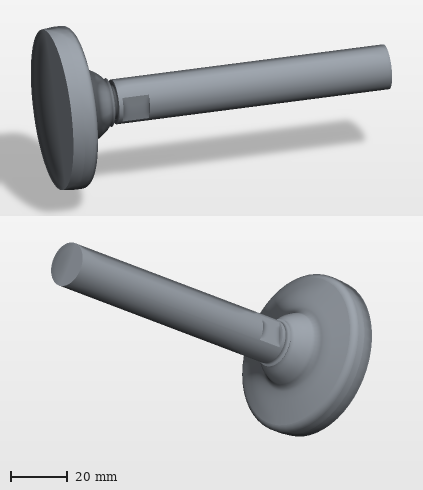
import cadquery as cq
import math

total_length = 122.0

foot_diameter = 58.0
base_diameter = 57.1
taper_height = 4.1
rim_height = 7.1
shoulder_radius = 27.1
shoulder_height = 9.4
slope_top_radius = 15.1
slope_top_height = 11.6
dome_base_radius = 13.0
dome_base_height = 13.3
dome_top_radius = 8.0
dome_top_height = 20.0
dome_sphere_radius = 13.2
rim_bulge = 0.5
flare_sag = 0.4

spindle_diameter = 16.0
spindle_start = 22.5
collar_radius = 8.7
collar_height = 20.6
neck_radius = 5.6
neck_end_radius = 6.5
neck_start = 21.6
flat_start = 23.9
flat_length = 9.6
across_flats = 12.9


def bulged_point(start, end, bulge):
    """Middle of an arc from start to end; a positive bulge lies to the right of the direction of travel."""
    run = end[0] - start[0]
    rise = end[1] - start[1]
    chord = math.hypot(run, rise)
    middle_radius = (start[0] + end[0]) / 2 + bulge * rise / chord
    middle_height = (start[1] + end[1]) / 2 - bulge * run / chord
    return (middle_radius, middle_height)


def revolve_about_y(profile):
    return profile.close().revolve(360, (0, 0, 0), (0, 1, 0))


def make_foot():
    rim = (foot_diameter / 2, rim_height)
    shoulder = (shoulder_radius, shoulder_height)
    slope_top = (slope_top_radius, slope_top_height)
    dome_base = (dome_base_radius, dome_base_height)
    dome_top = (dome_top_radius, dome_top_height)
    half_chord = math.dist(dome_base, dome_top) / 2
    dome_bulge = dome_sphere_radius - math.sqrt(dome_sphere_radius**2 - half_chord**2)
    profile = (
        cq.Workplane("XY")
        .lineTo(base_diameter / 2, 0)
        .lineTo(foot_diameter / 2, taper_height)
        .lineTo(*rim)
        .threePointArc(bulged_point(rim, shoulder, rim_bulge), shoulder)
        .lineTo(*slope_top)
        .threePointArc(bulged_point(slope_top, dome_base, -flare_sag), dome_base)
        .threePointArc(bulged_point(dome_base, dome_top, dome_bulge), dome_top)
        .lineTo(0, dome_top_height)
    )
    return revolve_about_y(profile)


def make_spindle():
    neck_middle = (neck_start + spindle_start) / 2
    profile = (
        cq.Workplane("XY")
        .moveTo(0, dome_top_height)
        .lineTo(dome_top_radius, dome_top_height)
        .lineTo(collar_radius, collar_height)
        .lineTo(neck_end_radius, neck_start)
        .threePointArc((neck_radius, neck_middle), (neck_end_radius, spindle_start))
        .lineTo(spindle_diameter / 2, spindle_start)
        .lineTo(spindle_diameter / 2, total_length)
        .lineTo(0, total_length)
    )
    spindle = revolve_about_y(profile)
    for side in (-1, 1):
        flat_cut = cq.Workplane("XY").box(spindle_diameter, flat_length, spindle_diameter).translate(
            (side * (across_flats + spindle_diameter) / 2, flat_start + flat_length / 2, 0)
        )
        spindle = spindle.cut(flat_cut)
    return spindle


foot = make_foot()
spindle = make_spindle()

result = cq.Compound.makeCompound([foot.val(), spindle.val()])